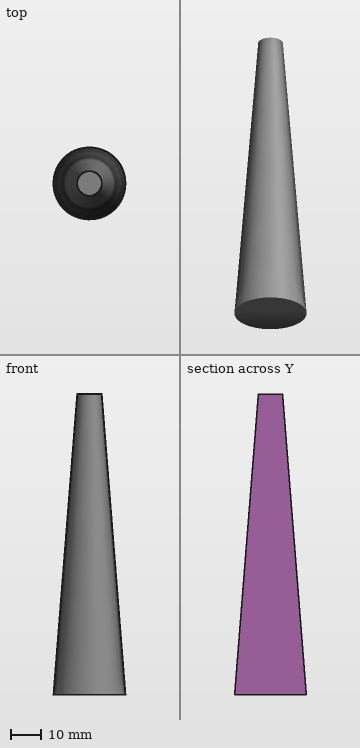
import cadquery as cq

height = 100.0
base_diameter = 24.0
tip_diameter = 8.2

profile = [
    (0, 0),
    (base_diameter / 2, 0),
    (tip_diameter / 2, height),
    (0, height),
]
result = cq.Workplane("XZ").polyline(profile).close().revolve(360, (0, 0, 0), (0, 1, 0))